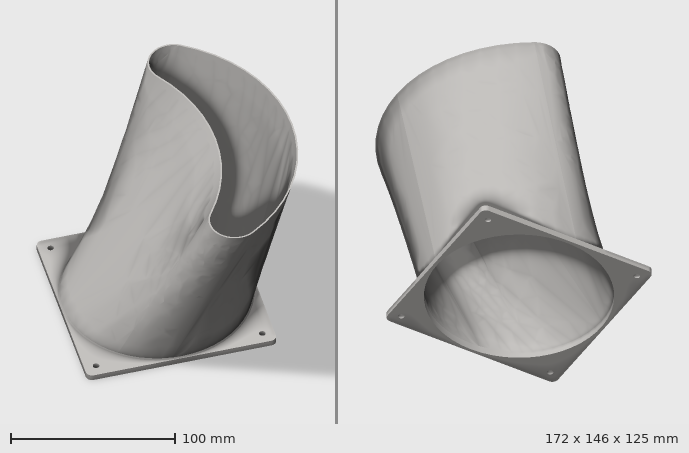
import cadquery as cq
import math

plate_side = 120.0
plate_thickness = 4.0
corner_radius = 4.0
hole_diameter = 4.0
hole_spacing = 104.9

total_height = 125.0
wall = 1.0
bore_diameter = 116.0
collar_height = 0.9
duct_base_diameter = bore_diameter + 2 * wall
collar_diameter = duct_base_diameter + 2 * collar_height
loft_bottom = plate_thickness + collar_height

mouth_half_width = 86.0
mouth_back = 86.0
mouth_front = 36.6
lobe_radius = 16.0
lobe_y = 30.1
lobe_x = mouth_half_width - lobe_radius

back_angle = 90
side_angle = 186
front_seam_angle = 218.5
front_angle = 270

back_rise = mouth_back - lobe_y
back_radius = (lobe_x**2 + back_rise**2 - lobe_radius**2) / (2 * (back_rise - lobe_radius))
front_rise = mouth_front - lobe_y
front_radius = (lobe_x**2 + front_rise**2 - lobe_radius**2) / (2 * (front_rise + lobe_radius))
back_center_y = mouth_back - back_radius
front_center_y = mouth_front - front_radius
back_tangent_angle = math.degrees(math.atan2(lobe_y - back_center_y, -lobe_x))
front_tangent_angle = math.degrees(math.atan2(lobe_y - front_center_y, -lobe_x))


def arc(center_x, center_y, radius, start, end, z):
    """Arc edge between two polar angles in degrees."""
    points = []
    for angle in (start, (start + end) / 2, end):
        a = math.radians(angle)
        points.append(cq.Vector(center_x + radius * math.cos(a), center_y + radius * math.sin(a), z))
    return cq.Edge.makeThreePointArc(*points)


def mirrored_wire(left_edges):
    """Close the left half outline with its mirror image across the YZ plane."""
    right_edges = [edge.mirror("YZ") for edge in reversed(left_edges)]
    return cq.Wire.assembleEdges(left_edges + right_edges)


def base_wire(inset):
    """Circle split at the seams of the duct."""
    radius = duct_base_diameter / 2 - inset
    angles = [back_angle, side_angle, front_seam_angle, front_angle]
    return mirrored_wire([arc(0, 0, radius, a, b, loft_bottom) for a, b in zip(angles, angles[1:])])


def mouth_wire(inset):
    """Crescent outline, moved inward by the inset."""
    lobe_end_angle = front_tangent_angle + 180
    return mirrored_wire([
        arc(0, back_center_y, back_radius - inset, back_angle, back_tangent_angle, total_height),
        arc(-lobe_x, lobe_y, lobe_radius - inset, back_tangent_angle, lobe_end_angle, total_height),
        arc(0, front_center_y, front_radius + inset, front_tangent_angle, 90, total_height),
    ])


def duct_body(inset):
    return cq.Workplane(cq.Solid.makeLoft([base_wire(inset), mouth_wire(inset)], True))


plate = (
    cq.Workplane()
    .rect(plate_side, plate_side)
    .extrude(plate_thickness)
    .edges("|Z")
    .fillet(corner_radius)
    .faces(">Z")
    .workplane()
    .rect(hole_spacing, hole_spacing, forConstruction=True)
    .vertices()
    .hole(hole_diameter)
)
collar = (
    cq.Workplane()
    .circle(collar_diameter / 2)
    .extrude(loft_bottom)
    .faces(">Z")
    .chamfer(collar_height)
)
bore = cq.Workplane().circle(bore_diameter / 2).extrude(loft_bottom)
duct = duct_body(0).cut(duct_body(wall))

result = plate.union(collar).cut(bore).union(duct)